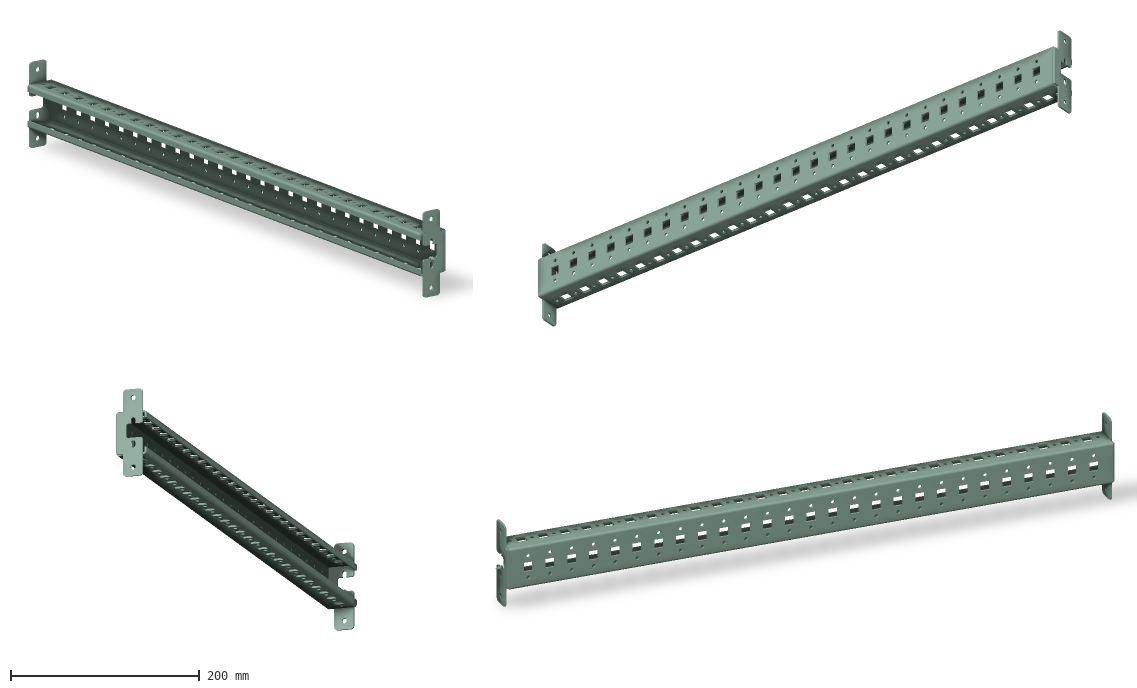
import cadquery as cq

total_length = 703.0
rail_span = 698.0
rail_depth = 34.0
rail_height = 48.0
sheet = 2.0
bend_radius = 3.0
lip_height = 8.0

square_count = 27
square_row_length = 650.0
square_size = 10.5
round_diameter = 4.0
hole_depth = 20.0

plate_thickness = 2.0
plate_inset = 1.5
plate_depth = 30.0
plate_height = 95.0
tab_back = 8.5
tab_corner = 3.5
tab_hole_diameter = 5.5
tab_hole_offset = 38.0
slot_offset = 13.0
slot_length = 8.0
slot_width = 5.0
opening_back = 12.0
opening_top = 10.0
opening_bottom = -5.5
opening_corner = 2.0

pin_diameter = 4.0
pin_drop = 5.5
pin_length = total_length - rail_span
pin_tip_length = 4.0

pitch = square_row_length / (square_count - 1)
web_round_offset = pitch / 2
back = rail_depth / 2
front = -back
hole_y = back - hole_depth
plate_front = back - plate_depth
middle_x = rail_span / 2
square_places = [middle_x + (i - (square_count - 1) / 2) * pitch for i in range(square_count)]
round_places = [middle_x + (i - square_count / 2) * pitch for i in range(square_count + 1)]


def box(x_min, x_max, y_min, y_max, z_min, z_max):
    """Axis-aligned block between the given limits."""
    size = (x_max - x_min, y_max - y_min, z_max - z_min)
    return cq.Workplane("XY").box(*size, centered=False).translate((x_min, y_min, z_min))


def channel():
    """Bent channel, without holes, between the two end plates."""
    length = rail_span - 2 * plate_thickness
    outer = cq.Workplane("YZ").rect(rail_depth, rail_height).extrude(length)
    inner = cq.Workplane("YZ").rect(rail_depth - 2 * sheet, rail_height - 2 * sheet).extrude(length)
    tube = outer.edges("|X").fillet(bend_radius).cut(inner.edges("|X").fillet(bend_radius - sheet))
    mouth = rail_height / 2 - lip_height
    tube = tube.cut(box(0, length, front, front + bend_radius, -mouth, mouth))
    return tube.translate((plate_thickness, 0, 0))


def perforation(plane, square_points, round_points, depth):
    """Cutters for square and round holes, starting on the given plane."""
    squares = cq.Workplane(plane).pushPoints(square_points).rect(square_size, square_size).extrude(depth)
    rounds = cq.Workplane(plane).pushPoints(round_points).circle(round_diameter / 2).extrude(depth)
    return squares.add(rounds)


def flange_holes():
    """Square holes with round ones between them, through both flanges."""
    plane = cq.Plane.XY((0, hole_y, -rail_height / 2))
    square_points = [(x, 0) for x in square_places]
    round_points = [(x, 0) for x in round_places]
    return perforation(plane, square_points, round_points, rail_height)


def web_holes():
    """Square holes through the web, each with a round hole above and below."""
    plane = cq.Plane.XZ((0, back, 0))
    square_points = [(x, 0) for x in square_places]
    round_points = [(x, z) for x in square_places for z in (-web_round_offset, web_round_offset)]
    return perforation(plane, square_points, round_points, 2 * sheet)


def end_plate(x_min):
    """Plate closing the rail end, with a tab above and below and an open notch."""
    x_max = x_min + plate_thickness
    half_cover = rail_height / 2 - plate_inset
    half_plate = plate_height / 2
    cover = box(x_min, x_max, plate_front, back - plate_inset, -half_cover, half_cover)
    tabs = box(x_min, x_max, plate_front, back - tab_back, -half_plate, half_plate)
    plate = cover.union(tabs.edges("|X").fillet(tab_corner))
    plane = cq.Plane.YZ((x_min, 0, 0))
    tab_points = [(hole_y, -tab_hole_offset), (hole_y, tab_hole_offset)]
    slot_points = [(hole_y, -slot_offset), (hole_y, slot_offset)]
    tab_holes = cq.Workplane(plane).pushPoints(tab_points).circle(tab_hole_diameter / 2)
    slots = cq.Workplane(plane).pushPoints(slot_points).slot2D(slot_length, slot_width, 90)
    opening = box(x_min, x_max, front, back - opening_back, opening_bottom, opening_top)
    opening = opening.edges("|X and >Y").fillet(opening_corner)
    plate = plate.cut(tab_holes.extrude(plate_thickness)).cut(slots.extrude(plate_thickness))
    plate = plate.cut(opening)
    margin = plate_thickness
    mouth_corners = cq.selectors.BoxSelector(
        (x_min - margin, plate_front - margin, opening_bottom - margin),
        (x_max + margin, plate_front + margin, opening_top + margin),
    )
    return plate.edges("|X").edges(mouth_corners).fillet(opening_corner)


def pin():
    """Pin with a conical tip, pointing away from the right-hand plate."""
    radius = pin_diameter / 2
    profile = (
        cq.Workplane("XY")
        .moveTo(-plate_thickness, 0)
        .lineTo(-plate_thickness, radius)
        .lineTo(pin_length - pin_tip_length, radius)
        .lineTo(pin_length, 0)
        .close()
    )
    body = profile.revolve(360, (0, 0, 0), (1, 0, 0))
    return body.translate((rail_span, hole_y, -pin_drop))


result = channel()
for cutter in flange_holes().add(web_holes()).vals():
    result = result.cut(cq.Workplane(cutter))
result = result.union(end_plate(0)).union(end_plate(rail_span - plate_thickness)).union(pin())